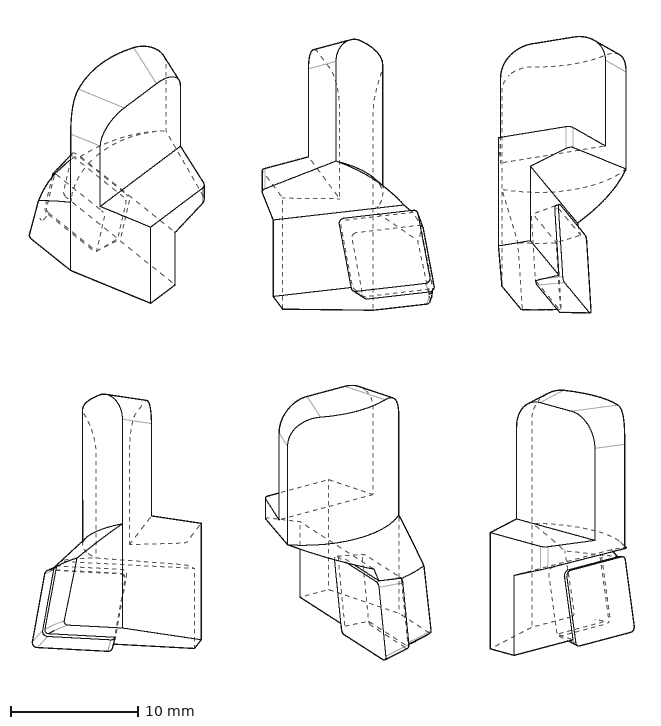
import cadquery as cq
import math

HALF_WIDTH = 5.2
REAR_X = 6.75
SIDE_ANGLE = 18.0
TOP_Z = 19.48
STEP_X = 2.5
STEP_Z = TOP_Z - 10.0
TOP_FILLET = 2.5
REAR_CORNER_RADIUS = 0.5

NOSE_RADIUS = 7.8
NOSE_AXIS_X = math.sqrt(NOSE_RADIUS**2 - HALF_WIDTH**2)
SHOULDER_TOP_Z = TOP_Z - 11.0
SHOULDER_BOTTOM_Z = 5.5
FLANK_ANGLE = 10.0
FLANK_FILLET = 0.28
SHOULDER_RADIUS = NOSE_RADIUS + SHOULDER_TOP_Z - SHOULDER_BOTTOM_Z
BASE_RADIUS = SHOULDER_RADIUS + SHOULDER_BOTTOM_Z * math.tan(math.radians(FLANK_ANGLE))

CLEARANCE_Y = -0.32
CLEARANCE_DROP = 1.95

INSERT_CORNER_X = -6.25
INSERT_CORNER_Z = -0.52
INSERT_HEIGHT = 6.35
INSERT_THICKNESS = 2.38
INSERT_ANGLE = 80.0
INSERT_RELIEF = 7.0
INSERT_RADIUS = 0.4

MARGIN = 2.0


def half_width_at(x):
    """Half the width between the sloping sides at a given X."""
    return HALF_WIDTH - x * math.tan(math.radians(SIDE_ANGLE))


def tapered_block(front_x, rear_x, height):
    """Prism between the two sloping sides."""
    front = half_width_at(front_x)
    rear = half_width_at(rear_x)
    outline = [(front_x, -front), (rear_x, -rear), (rear_x, rear), (front_x, front)]
    return cq.Workplane("XY").polyline(outline).close().extrude(height)


def make_nose():
    """Revolved envelope that trims the front of the holder."""
    profile = (
        cq.Workplane("XZ")
        .moveTo(0, 0)
        .lineTo(BASE_RADIUS, 0)
        .lineTo(SHOULDER_RADIUS, SHOULDER_BOTTOM_Z)
        .lineTo(NOSE_RADIUS, SHOULDER_TOP_Z)
        .lineTo(NOSE_RADIUS, TOP_Z)
        .lineTo(0, TOP_Z)
        .close()
    )
    nose = profile.revolve(360, (0, 0, 0), (0, 1, 0))
    nose = nose.faces("<Z").edges().fillet(FLANK_FILLET)
    return nose.translate((NOSE_AXIS_X, 0, 0))


def make_upper():
    """Tall part, with rounded upper edges along both sloping sides."""
    upper = tapered_block(NOSE_AXIS_X - NOSE_RADIUS - MARGIN, STEP_X, TOP_Z)
    return upper.faces(">Z").edges("not |Y").fillet(TOP_FILLET)


def make_lower():
    """Rear block and the parallel-sided front block beneath the shoulder."""
    rear = tapered_block(0, REAR_X, STEP_Z)
    rear = rear.edges("|Z").edges(">X").edges(">Y").fillet(REAR_CORNER_RADIUS)
    front_length = BASE_RADIUS - NOSE_AXIS_X + MARGIN
    front = cq.Workplane("XY").box(
        front_length, 2 * HALF_WIDTH, SHOULDER_TOP_Z, centered=(False, True, False)
    )
    return rear.union(front.translate((-front_length, 0, 0)))


def make_clearance():
    """Space below a sloping plane on the +Y side, running the full length in X."""
    slope = CLEARANCE_DROP / (HALF_WIDTH - CLEARANCE_Y)
    outer_y = HALF_WIDTH + MARGIN
    outline = [
        (CLEARANCE_Y, -MARGIN),
        (outer_y, -MARGIN),
        (outer_y, SHOULDER_TOP_Z + slope * MARGIN),
        (CLEARANCE_Y, SHOULDER_TOP_Z - CLEARANCE_DROP),
    ]
    profile = cq.Workplane("YZ").polyline(outline).close()
    return profile.extrude(2 * BASE_RADIUS, both=True)


def make_insert():
    """Rhombic plate that narrows toward -Y, with its four corners rounded."""
    angle = math.radians(INSERT_ANGLE)
    side = INSERT_HEIGHT / math.sin(angle)
    lean = INSERT_HEIGHT / math.tan(angle)
    left = INSERT_CORNER_X
    top = INSERT_CORNER_Z + INSERT_HEIGHT
    outline = [
        (left, INSERT_CORNER_Z),
        (left + side, INSERT_CORNER_Z),
        (left + side + lean, top),
        (left + lean, top),
    ]
    plate = cq.Workplane("XZ").polyline(outline).close().extrude(INSERT_THICKNESS, taper=INSERT_RELIEF)
    return plate.edges("not #Y").fillet(INSERT_RADIUS)


def make_holder(insert):
    """Holder with the clearance and a pocket that matches the insert."""
    width_limit = cq.Workplane("XY").box(
        4 * BASE_RADIUS, 2 * HALF_WIDTH, TOP_Z, centered=(True, True, False)
    )
    upper = make_upper().intersect(width_limit)
    holder = upper.union(make_lower()).intersect(make_nose())
    return holder.cut(make_clearance()).cut(insert)


cutting_insert = make_insert()
holder = make_holder(cutting_insert)

result = cq.Compound.makeCompound([holder.val(), cutting_insert.val()])